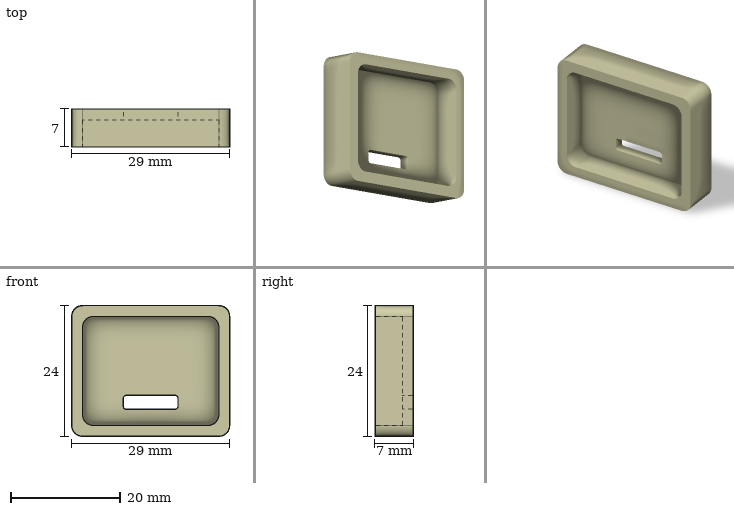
import cadquery as cq

LENGTH = 29.0
DEPTH = 7.0
HEIGHT = 24.0
CORNER_RADIUS = 2.0

WALL = 2.0
FLOOR = 2.0
POCKET_CORNER_RADIUS = 2.0

SLOT_LENGTH = 10.0
SLOT_HEIGHT = 2.5
SLOT_CORNER_RADIUS = 0.5
SLOT_CENTER_Z = -5.75


def rounded_block(length, depth, height, radius):
    """Centred block with its four edges along Y rounded."""
    return cq.Workplane("XY").box(length, depth, height).edges("|Y").fillet(radius)


def make_pocket():
    """Volume removed from the open front face down to the floor."""
    pocket = rounded_block(
        LENGTH - 2 * WALL,
        DEPTH - FLOOR,
        HEIGHT - 2 * WALL,
        POCKET_CORNER_RADIUS,
    )
    return pocket.translate((0, -FLOOR / 2, 0))


def make_slot():
    """Volume of the slot, long enough to pass through the whole case."""
    slot = rounded_block(SLOT_LENGTH, DEPTH, SLOT_HEIGHT, SLOT_CORNER_RADIUS)
    return slot.translate((0, 0, SLOT_CENTER_Z))


case = rounded_block(LENGTH, DEPTH, HEIGHT, CORNER_RADIUS)
result = case.cut(make_pocket()).cut(make_slot())